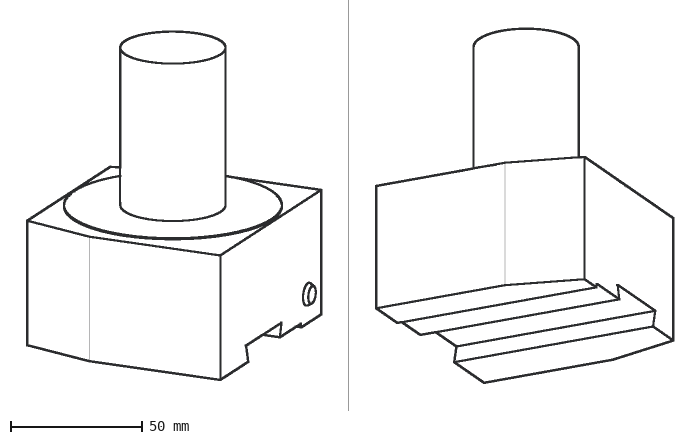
import cadquery as cq
import math

total_length = 86.6
total_width = 90.5
total_height = 113.1

button_height = 1.7
body_length = total_length - button_height
body_height = 49.8
corner_length = 30.0
corner_angle = 15.0
corner_depth = corner_length * math.tan(math.radians(corner_angle))

axis_x = body_length / 2
axis_y = 2.8
disc_diameter = 83.0
disc_height = 0.5
shaft_diameter = 40.2

groove_depth = 7.0
groove_top_width = 31.5
groove_center_y = -6.2
recess_depth = 1.6
recess_edge_y = 27.4
flank_angle = 15.0

button_base_diameter = 8.8
button_face_diameter = 6.8
button_y = 33.3
button_z = 11.5


def make_body():
    """Block with both corners at the -X end cut back at a shallow angle."""
    half_width = total_width / 2
    end_half_width = half_width - corner_depth
    outline = [
        (0, -end_half_width),
        (corner_length, -half_width),
        (body_length, -half_width),
        (body_length, half_width),
        (corner_length, half_width),
        (0, end_half_width),
    ]
    return cq.Workplane("XY").polyline(outline).close().extrude(body_height)


def make_groove():
    """Dovetail with its +Y flank ending in a shallow recess."""
    slope = math.tan(math.radians(flank_angle))
    top_low_y = groove_center_y - groove_top_width / 2
    top_high_y = groove_center_y + groove_top_width / 2
    profile = [
        (top_low_y + groove_depth * slope, 0),
        (top_low_y, groove_depth),
        (top_high_y, groove_depth),
        (top_high_y - (groove_depth - recess_depth) * slope, recess_depth),
        (recess_edge_y - recess_depth * slope, recess_depth),
        (recess_edge_y, 0),
    ]
    return cq.Workplane("YZ").polyline(profile).close().extrude(body_length)


def make_post():
    """Thin raised disc carrying the shaft."""
    top_plane = cq.Workplane("XY", origin=(axis_x, axis_y, body_height))
    disc = top_plane.circle(disc_diameter / 2).extrude(disc_height)
    shaft = top_plane.circle(shaft_diameter / 2).extrude(total_height - body_height)
    return disc.union(shaft)


def make_button():
    """Low round button tapering towards its flat outer face."""
    base_radius = button_base_diameter / 2
    face_radius = button_face_diameter / 2
    base_center = cq.Vector(body_length, button_y, button_z)
    cone = cq.Solid.makeCone(base_radius, face_radius, button_height, base_center, cq.Vector(1, 0, 0))
    return cq.Workplane("XY").add(cone)


result = make_body().cut(make_groove()).union(make_post()).union(make_button())